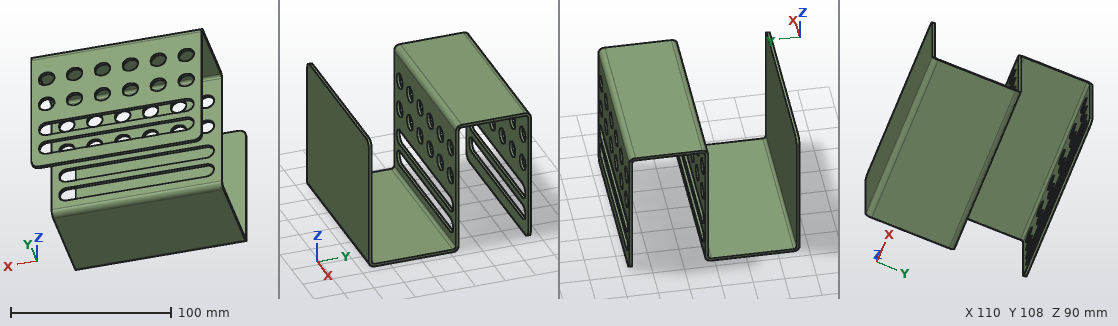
import cadquery as cq

width = 110.0
depth = 108.0
height = 90.0

sheet = 2.0
bend_outer = 4.0
bend_inner = bend_outer - sheet
corner_radius = 5.0
rear_channel_depth = 50.0

hole_diameter = 10.0
hole_columns = 6
hole_pitch_x = 18.0
hole_row_heights = (69.2, 49.2)
slot_width = hole_diameter
slot_length = 100.0
slot_heights = (29.2, 14.2)

front_y = -depth / 2
rear_y = depth / 2
middle_front_y = rear_y - rear_channel_depth
middle_rear_y = middle_front_y + sheet


def bent_sheet():
    """Extrude the S profile across the width, with its bends rounded."""
    profile = [
        (front_y, height),
        (front_y, 0),
        (middle_rear_y, 0),
        (middle_rear_y, height - sheet),
        (rear_y - sheet, height - sheet),
        (rear_y - sheet, 0),
        (rear_y, 0),
        (rear_y, height),
        (middle_front_y, height),
        (middle_front_y, sheet),
        (front_y + sheet, sheet),
        (front_y + sheet, height),
    ]
    body = cq.Workplane("YZ").polyline(profile).close().extrude(width / 2, both=True)
    bends = (
        (front_y, 0, bend_outer),
        (front_y + sheet, sheet, bend_inner),
        (middle_rear_y, 0, bend_outer),
        (middle_front_y, sheet, bend_inner),
        (middle_front_y, height, bend_outer),
        (middle_rear_y, height - sheet, bend_inner),
        (rear_y, height, bend_outer),
        (rear_y - sheet, height - sheet, bend_inner),
    )
    for y, z, radius in bends:
        edge = cq.selectors.NearestToPointSelector((0, y, z))
        body = body.edges("|X").edges(edge).fillet(radius)
    return body


def round_free_corners(body):
    """Round the two corners at the free end of the front and rear walls."""
    free_ends = (
        (front_y + sheet / 2, height),
        (rear_y - sheet / 2, 0),
    )
    for y, z in free_ends:
        for x in (-width / 2, width / 2):
            corner = cq.selectors.NearestToPointSelector((x, y, z))
            body = body.edges("|Y").edges(corner).fillet(corner_radius)
    return body


def perforations():
    """Cutters for the hole grid and slots, reaching from the middle wall through the rear wall."""
    first_x = -hole_pitch_x * (hole_columns - 1) / 2
    hole_centres = [
        (first_x + column * hole_pitch_x, z)
        for z in hole_row_heights
        for column in range(hole_columns)
    ]
    start = cq.Workplane("XZ", origin=(0, rear_y, 0))
    holes = start.pushPoints(hole_centres).circle(hole_diameter / 2).extrude(rear_channel_depth)
    slot_centres = [(0, z) for z in slot_heights]
    slots = start.pushPoints(slot_centres).slot2D(slot_length, slot_width).extrude(rear_channel_depth)
    return holes.union(slots)


result = round_free_corners(bent_sheet()).cut(perforations())